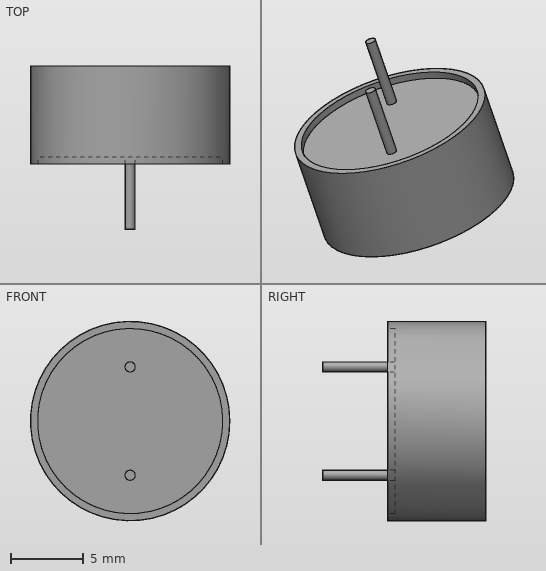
import cadquery as cq

body_diameter = 13.8
body_length = 6.8
recess_diameter = 12.8
recess_depth = 0.5

pin_diameter = 0.7
pin_spacing = 7.5
pin_projection = 4.5


def cylinder_along_y(diameter, y_start, y_end, z=0.0):
    """Solid cylinder parallel to Y, from y_start to the larger y_end."""
    return (
        cq.Workplane("XZ", origin=(0, y_end, z))
        .circle(diameter / 2)
        .extrude(y_end - y_start)
    )


can = cylinder_along_y(body_diameter, 0, body_length)
recess = cylinder_along_y(recess_diameter, 0, recess_depth)
result = can.cut(recess)

for side in (-1, 1):
    pin = cylinder_along_y(pin_diameter, -pin_projection, recess_depth, side * pin_spacing / 2)
    result = result.union(pin)